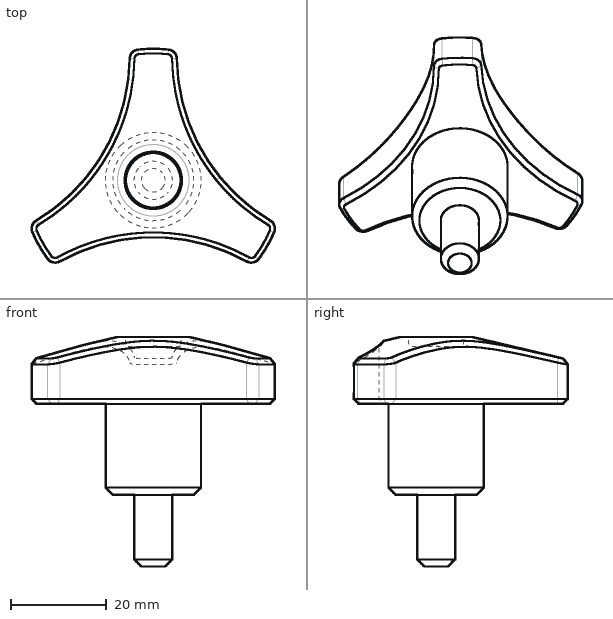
import cadquery as cq
import math

pin_length = 15.0
boss_length = 19.0
head_height = 14.0
head_bottom = pin_length + boss_length

pin_diameter = 8.0
boss_diameter = 20.0
shank_chamfer = 1.55

lobe_count = 3
tip_radius = 27.5
valley_radius = 11.9
scoop_radius = 40.0
corner_radius = 2.0
head_chamfer = 1.0

flat_radius = 7.5
cone_slope = 0.236
recess_diameter = 11.8
recess_floor_diameter = 11.4
recess_depth = 2.0
recess_chamfer = 0.1


def chamfered_pin(diameter, length, bottom):
    """Upright cylinder with a chamfered lower rim."""
    pin = cq.Workplane("XY").workplane(offset=bottom).circle(diameter / 2).extrude(length)
    return pin.faces("<Z").chamfer(shank_chamfer)


def coned_blank():
    """Round blank with a flat centre and a conical top."""
    rim_height = head_height - cone_slope * (tip_radius - flat_radius)
    profile = (
        cq.Workplane("XZ", origin=(0, 0, head_bottom))
        .lineTo(tip_radius, 0)
        .lineTo(tip_radius, rim_height)
        .lineTo(flat_radius, head_height)
        .lineTo(0, head_height)
        .close()
    )
    return profile.revolve(360, (0, 0, 0), (0, 1, 0))


def scoop(direction):
    """Cylinder that hollows the outline between two lobes."""
    distance = valley_radius + scoop_radius
    center_x = distance * math.cos(direction)
    center_y = distance * math.sin(direction)
    return (
        cq.Workplane("XY", origin=(0, 0, head_bottom))
        .center(center_x, center_y)
        .circle(scoop_radius)
        .extrude(head_height)
    )


def lobed_head():
    """Coned blank scooped into lobes, with rounded corners and chamfered rims."""
    head = coned_blank()
    for index in range(lobe_count):
        head = head.cut(scoop(-math.pi / 2 + index * 2 * math.pi / lobe_count))
    head = head.edges("|Z").fillet(corner_radius)
    cone_rim = head.faces("%CONE").edges("not(>Z)")
    head = cone_rim.chamfer(head_chamfer)
    return head.faces("<Z").chamfer(head_chamfer)


def recess():
    """Cutter for the slightly tapered recess and its chamfered mouth."""
    radius = recess_diameter / 2
    profile = (
        cq.Workplane("XZ", origin=(0, 0, head_bottom + head_height))
        .lineTo(radius + recess_chamfer, 0)
        .lineTo(radius, -recess_chamfer)
        .lineTo(recess_floor_diameter / 2, -recess_depth)
        .lineTo(0, -recess_depth)
        .close()
    )
    return profile.revolve(360, (0, 0, 0), (0, 1, 0))


pin = chamfered_pin(pin_diameter, pin_length, 0)
boss = chamfered_pin(boss_diameter, boss_length, pin_length)
result = lobed_head().union(boss).union(pin).cut(recess())